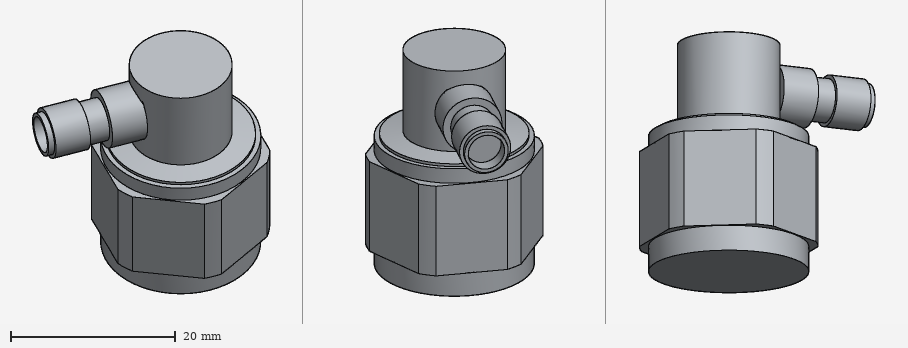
import cadquery as cq

barrel_diameter = 19.48
barrel_height = 17.03
hex_flats = 19.82
hex_corner_diameter = 21.7
hex_bottom = 3.13
hex_height = 11.95

ring_diameter = 18.2
rim_height = 0.37
cone_height = 0.35

total_height = 28.48
tower_diameter = 12.5
tower_bottom = barrel_height + rim_height + cone_height

connector_height = 22.95
collar_diameter = 7.32
collar_start = 5.75
collar_end = 10.3
tube_diameter = 5.4
tube_end = 18.25
bore_diameter = 4.5
bore_depth = 2.0
sleeve_diameter = 6.35
sleeve_start = 13.0
sleeve_end = 17.5


def side_cylinder(diameter, start, end):
    """Cylinder on the connector axis, running toward -Y between two distances."""
    return (
        cq.Workplane("XZ", origin=(0, -start, connector_height))
        .circle(diameter / 2)
        .extrude(end - start)
    )


def make_nut():
    barrel = cq.Workplane("XY").circle(barrel_diameter / 2).extrude(barrel_height)
    hexagon = (
        cq.Workplane("XY", origin=(0, 0, hex_bottom))
        .polygon(6, hex_flats, circumscribed=True)
        .extrude(hex_height)
        .rotate((0, 0, 0), (0, 0, 1), 30)
    )
    corner_limit = cq.Workplane("XY").circle(hex_corner_diameter / 2).extrude(barrel_height)
    return barrel.union(hexagon.intersect(corner_limit))


def make_retaining_ring():
    rim_top = barrel_height + rim_height
    return (
        cq.Workplane("XZ")
        .moveTo(0, barrel_height)
        .lineTo(ring_diameter / 2, barrel_height)
        .lineTo(ring_diameter / 2, rim_top)
        .lineTo(tower_diameter / 2, tower_bottom)
        .lineTo(0, tower_bottom)
        .close()
        .revolve(360, (0, 0, 0), (0, 1, 0))
    )


def make_tower():
    tower = (
        cq.Workplane("XY", origin=(0, 0, tower_bottom))
        .circle(tower_diameter / 2)
        .extrude(total_height - tower_bottom)
    )
    return tower.cut(side_cylinder(collar_diameter, collar_start, collar_end))


def make_collar():
    return side_cylinder(collar_diameter, collar_start, collar_end)


def make_tube():
    bore = side_cylinder(bore_diameter, tube_end - bore_depth, tube_end)
    return side_cylinder(tube_diameter, collar_end, tube_end).cut(bore)


def make_sleeve():
    tube_hole = side_cylinder(tube_diameter, sleeve_start, sleeve_end)
    return side_cylinder(sleeve_diameter, sleeve_start, sleeve_end).cut(tube_hole)


nut = make_nut()
retaining_ring = make_retaining_ring()
tower = make_tower()
collar = make_collar()
tube = make_tube()
sleeve = make_sleeve()

result = cq.Compound.makeCompound([
    nut.val(),
    retaining_ring.val(),
    tower.val(),
    collar.val(),
    tube.val(),
    sleeve.val(),
])